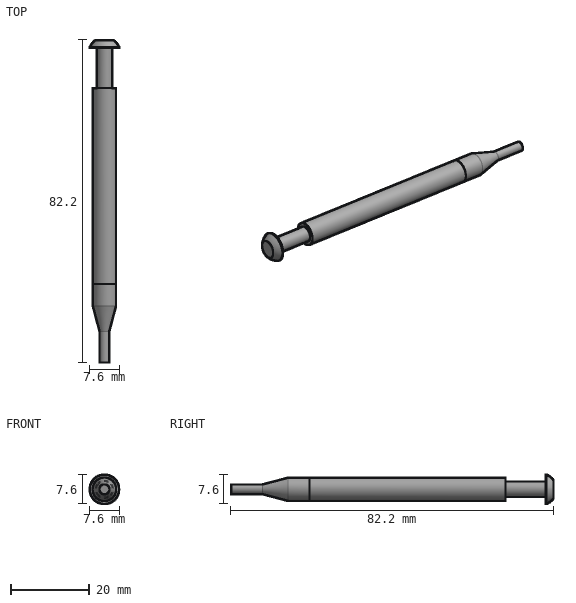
import cadquery as cq

TIP_END = 8.0
TAPER_END = 14.5
NOSE_END = 20.0
BARREL_END = 69.95
OVERALL_LENGTH = 82.2

TIP_DIAMETER = 2.55
BARREL_DIAMETER = 6.0
SHAFT_DIAMETER = 4.0
HEAD_DIAMETER = 7.6
HEAD_FLAT_DIAMETER = 4.6

HEAD_HEIGHT = 2.05
HEAD_RIM_HEIGHT = 0.25
HEAD_BULGE = 0.2

TIP_RADIUS = TIP_DIAMETER / 2
BARREL_RADIUS = BARREL_DIAMETER / 2
SHAFT_RADIUS = SHAFT_DIAMETER / 2
HEAD_RADIUS = HEAD_DIAMETER / 2
HEAD_FLAT_RADIUS = HEAD_FLAT_DIAMETER / 2
HEAD_START = OVERALL_LENGTH - HEAD_HEIGHT
RIM_END = HEAD_START + HEAD_RIM_HEIGHT


def revolve_about_y(profile):
    """Turn a closed half profile (X = radius, Y = length) about the Y axis."""
    return profile.revolve(360, (0, 0, 0), (0, 1, 0))


def make_nose():
    """Solid tip, taper and short cylinder that meets the barrel."""
    profile = (
        cq.Workplane("XY")
        .lineTo(TIP_RADIUS, 0)
        .lineTo(TIP_RADIUS, TIP_END)
        .lineTo(BARREL_RADIUS, TAPER_END)
        .lineTo(BARREL_RADIUS, NOSE_END)
        .lineTo(0, NOSE_END)
        .close()
    )
    return revolve_about_y(profile)


def make_barrel():
    """Plain cylinder between the nose and the plunger."""
    profile = (
        cq.Workplane("XY")
        .moveTo(0, NOSE_END)
        .lineTo(BARREL_RADIUS, NOSE_END)
        .lineTo(BARREL_RADIUS, BARREL_END)
        .lineTo(0, BARREL_END)
        .close()
    )
    return revolve_about_y(profile)


def make_plunger():
    """Shaft resting on the barrel, with a domed, flat-topped head."""
    flank = cq.Vector(HEAD_FLAT_RADIUS - HEAD_RADIUS, OVERALL_LENGTH - RIM_END, 0)
    outward = cq.Vector(flank.y, -flank.x, 0).normalized()
    flank_middle = cq.Vector(HEAD_RADIUS, RIM_END, 0) + flank * 0.5 + outward * HEAD_BULGE
    profile = (
        cq.Workplane("XY")
        .moveTo(0, BARREL_END)
        .lineTo(SHAFT_RADIUS, BARREL_END)
        .lineTo(SHAFT_RADIUS, HEAD_START)
        .lineTo(HEAD_RADIUS, HEAD_START)
        .lineTo(HEAD_RADIUS, RIM_END)
        .threePointArc((flank_middle.x, flank_middle.y), (HEAD_FLAT_RADIUS, OVERALL_LENGTH))
        .lineTo(0, OVERALL_LENGTH)
        .close()
    )
    return revolve_about_y(profile)


nose = make_nose()
barrel = make_barrel()
plunger = make_plunger()

result = cq.Compound.makeCompound([nose.val(), barrel.val(), plunger.val()])